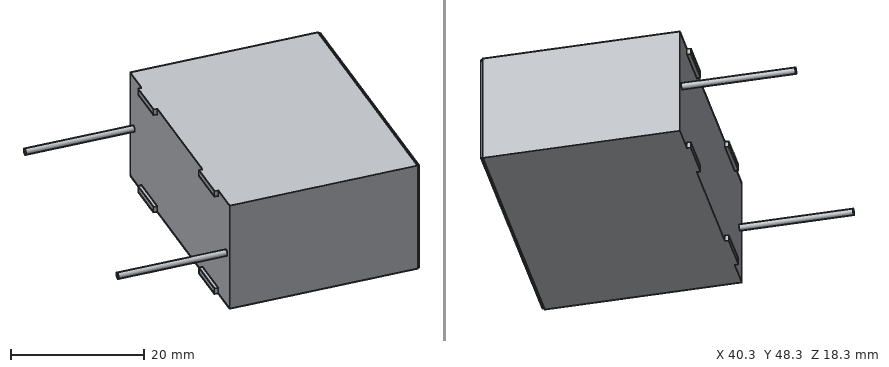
import cadquery as cq
width = 40.3
height = 18.3
total_length = 48.3

lead_diameter = 1.0
lead_spacing = 37.5
lead_length = 17.55

plate_thickness = 0.4
plate_inset = 0.1
plate_rounding = 0.3

case_depth = total_length - lead_length - plate_thickness
front_y = -case_depth / 2
back_y = case_depth / 2

foot_spacing = 24.65
foot_base_width = 6.45
foot_tip_width = 6.25
foot_height = 0.6
foot_thickness = 1.0


def make_foot(x_center, z_bottom):
    """Foot standing on the front face, a little narrower at its tip."""
    half_base = foot_base_width / 2
    half_tip = foot_tip_width / 2
    tip_y = front_y - foot_height
    return (
        cq.Workplane("XY", origin=(x_center, 0, z_bottom))
        .moveTo(-half_base, front_y)
        .lineTo(-half_tip, tip_y)
        .lineTo(half_tip, tip_y)
        .lineTo(half_base, front_y)
        .close()
        .extrude(foot_thickness)
    )


def make_case():
    """Solid block with two feet along each long edge of its front face."""
    body = cq.Workplane("XY").box(width, case_depth, height)
    for x_center in (-foot_spacing / 2, foot_spacing / 2):
        for z_bottom in (-height / 2, height / 2 - foot_thickness):
            body = body.union(make_foot(x_center, z_bottom))
    return body


def make_back_plate():
    """Thin plate on the back face of the case, with a rounded outer rim."""
    plate_width = width - 2 * plate_inset
    plate_height = height - 2 * plate_inset
    plate = cq.Workplane("XY").box(plate_width, plate_thickness, plate_height)
    plate = plate.faces(">Y").edges().fillet(plate_rounding)
    return plate.translate((0, back_y + plate_thickness / 2, 0))


def make_lead(x_center):
    """Straight round wire that starts on the front face."""
    return (
        cq.Workplane("XZ", origin=(x_center, front_y, 0))
        .circle(lead_diameter / 2)
        .extrude(lead_length)
    )


case = make_case()
back_plate = make_back_plate()
leads = [make_lead(x_center) for x_center in (-lead_spacing / 2, lead_spacing / 2)]

result = cq.Compound.makeCompound([case.val(), back_plate.val(), *[lead.val() for lead in leads]])